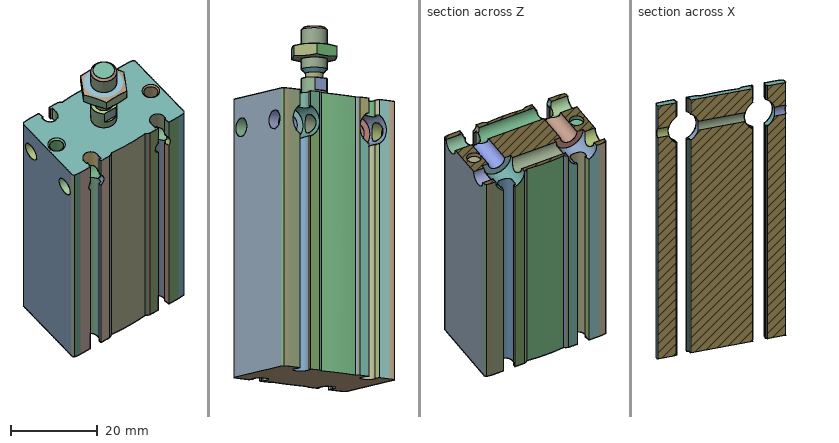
import cadquery as cq
import math

body_width = 20.0
body_depth = 32.0
body_height = 65.0
half_width = body_width / 2
half_depth = body_depth / 2

corner_curve_y = 14.0
corner_curve_drop = 0.17
corner_curve_mid_drop = corner_curve_drop / 4
corner_round_x = 0.75
corner_round_y = 0.35
corner_round_mid_x = 0.38
corner_round_mid_y = 0.11

slot_bottom_x = 6.05
slot_channel_x = 8.2
slot_inner_wall_y = 7.75
slot_outer_mouth_y = 11.25
slot_tooth_y = 11.0
slot_outer_lip = 1.4
slot_undercut_y = 11.35
slot_inner_mouth_y = 8.25
slot_inner_lip = 0.65

relief_start_y = 5.8
relief_mid_y = 5.3
relief_end_y = 4.8
relief_mid_depth = 0.18
relief_depth = 0.5
bulge_depth = 0.25

mount_y = 9.5
mount_z = 58.0
mount_diameter = 4.3
mount_counterbore_diameter = 7.5
mount_counterbore_depth = 6.5
front_hole_x = 6.5
end_hole_y = 13.5
end_hole_diameter = 3.24
end_hole_mouth_diameter = 4.0
end_hole_depth = 8.0

rod_diameter = 6.0
rod_top_z = 82.0
shoulder_z = 70.0
flat_bottom_z = 67.0
flat_width = 5.0
neck_diameter = 4.13
thread_start_z = 72.25
tip_diameter = 4.92

nut_bottom_z = 74.6
nut_thickness = 3.0
nut_across_flats = 10.0
nut_face_diameter = 9.0
nut_corner_drop = 0.35


def housing_outline():
    """Quarter profiles mirrored about X and Y give the closed extrusion outline."""
    curve_end = (half_width - corner_curve_drop, half_depth - corner_round_y)
    curve_mid = (half_width - corner_curve_mid_drop, (corner_curve_y + curve_end[1]) / 2)
    round_mid = (half_width - corner_round_mid_x, half_depth - corner_round_mid_y)
    end_face_x = half_width - corner_round_x
    tooth_x = half_width - slot_outer_lip
    inner_lip_x = half_width - slot_inner_lip
    channel_mid_y = (slot_undercut_y + slot_inner_wall_y) / 2

    quarter = [
        [(end_face_x, half_depth)],
        [round_mid, curve_end],
        [curve_mid, (half_width, corner_curve_y)],
        [(half_width, slot_outer_mouth_y)],
        [(tooth_x, slot_tooth_y)],
        [(tooth_x, slot_undercut_y)],
        [(slot_channel_x, slot_undercut_y)],
        [(slot_bottom_x, channel_mid_y), (slot_channel_x, slot_inner_wall_y)],
        [(inner_lip_x, slot_inner_wall_y)],
        [(inner_lip_x, slot_inner_mouth_y)],
        [(half_width, slot_inner_mouth_y)],
        [(half_width, relief_start_y)],
        [(half_width - relief_mid_depth, relief_mid_y)],
        [(half_width - relief_depth, relief_end_y)],
    ]

    def draw(sketch, steps, x_sign, y_sign):
        for step in steps:
            points = [(x_sign * x, y_sign * y) for x, y in step]
            if len(points) == 2:
                sketch = sketch.threePointArc(*points)
            else:
                sketch = sketch.lineTo(*points[0])
        return sketch

    def reverse(steps):
        """Same path walked from the bulge to the end face."""
        path = []
        for current, previous in zip(steps[:0:-1], steps[-2::-1]):
            path.append(current[:-1] + [previous[-1]])
        return path

    sketch = cq.Workplane("XY").moveTo(-end_face_x, half_depth).lineTo(end_face_x, half_depth)
    for side in (1, -1):
        sketch = draw(sketch, quarter[1:], side, side)
        sketch = sketch.threePointArc(
            (side * (half_width - bulge_depth), 0),
            (side * (half_width - relief_depth), -side * relief_end_y),
        )
        sketch = draw(sketch, reverse(quarter), side, -side)
        if side == 1:
            sketch = sketch.lineTo(-end_face_x, -half_depth)
    return sketch.close()


def build_housing():
    housing = housing_outline().extrude(body_height)

    for y in (-mount_y, mount_y):
        side_face = cq.Workplane("YZ", origin=(-half_width, y, mount_z))
        housing = housing.cut(side_face.circle(mount_diameter / 2).extrude(body_width))
        counterbore = side_face.circle(mount_counterbore_diameter / 2).extrude(mount_counterbore_depth)
        housing = housing.cut(counterbore)

    for x in (-front_hole_x, front_hole_x):
        end_face = cq.Workplane("XZ", origin=(x, half_depth, mount_z))
        housing = housing.cut(end_face.circle(mount_diameter / 2).extrude(body_depth))

    mouth_radius = end_hole_mouth_diameter / 2
    hole_radius = end_hole_diameter / 2
    mouth_depth = mouth_radius - hole_radius
    end_hole = (
        cq.Workplane("XZ")
        .polyline([
            (0, body_height),
            (mouth_radius, body_height),
            (hole_radius, body_height - mouth_depth),
            (hole_radius, body_height - end_hole_depth),
            (0, body_height - end_hole_depth),
        ])
        .close()
        .revolve()
    )
    for y in (-end_hole_y, end_hole_y):
        housing = housing.cut(end_hole.translate((0, y, 0)))
    return housing


def build_rod():
    radius = rod_diameter / 2
    neck_radius = neck_diameter / 2
    tip_radius = tip_diameter / 2
    rod = (
        cq.Workplane("XZ")
        .polyline([
            (0, body_height),
            (radius, body_height),
            (radius, shoulder_z),
            (neck_radius, shoulder_z),
            (neck_radius, thread_start_z - (radius - neck_radius)),
            (radius, thread_start_z),
            (radius, rod_top_z - (radius - tip_radius)),
            (tip_radius, rod_top_z),
            (0, rod_top_z),
        ])
        .close()
        .revolve()
    )

    flat_height = shoulder_z - flat_bottom_z
    for side in (-1, 1):
        cutter = cq.Workplane("XY", origin=(side * (flat_width + rod_diameter) / 2, 0, flat_bottom_z))
        cutter = cutter.box(rod_diameter, rod_diameter, flat_height, centered=(True, True, False))
        rod = rod.cut(cutter)
    return rod


def build_nut():
    corner_radius = nut_across_flats / math.sqrt(3)
    face_radius = nut_face_diameter / 2
    nut_top_z = nut_bottom_z + nut_thickness
    hexagon = (
        cq.Workplane("XY", origin=(0, 0, nut_bottom_z))
        .transformed(rotate=(0, 0, 90))
        .polygon(6, 2 * corner_radius)
        .extrude(nut_thickness)
    )
    blank = (
        cq.Workplane("XZ")
        .polyline([
            (rod_diameter / 2, nut_bottom_z),
            (face_radius, nut_bottom_z),
            (corner_radius, nut_bottom_z + nut_corner_drop),
            (corner_radius, nut_top_z - nut_corner_drop),
            (face_radius, nut_top_z),
            (rod_diameter / 2, nut_top_z),
        ])
        .close()
        .revolve()
    )
    return hexagon.intersect(blank)


housing = build_housing()
rod = build_rod()
nut = build_nut()

result = cq.Compound.makeCompound([housing.val(), rod.val(), nut.val()])